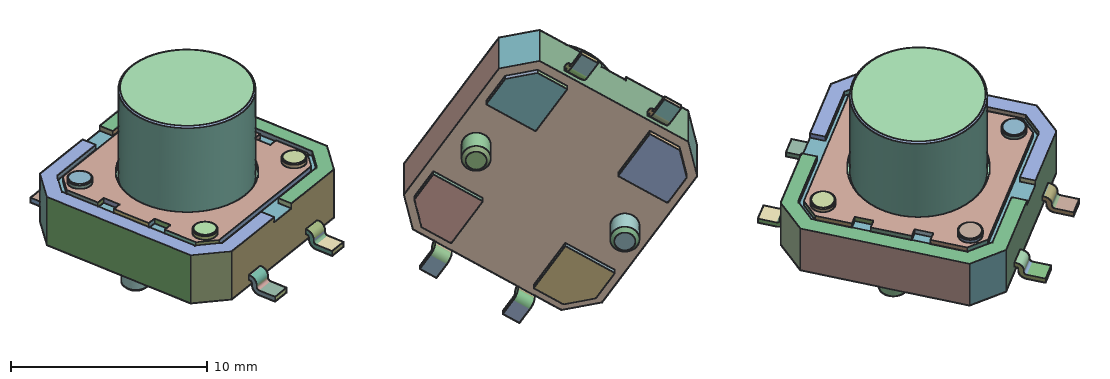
import cadquery as cq
import math

BODY_SIZE = 12.0
BODY_HEIGHT = 3.0
BODY_CORNER = 1.5

RECESS_INSET = 0.83
RECESS_DEPTH = 0.3
SIDE_NOTCH_WIDTH = 1.5

COVER_INSET = 1.1
COVER_THICKNESS = RECESS_DEPTH
COVER_HOLE_DIAMETER = 7.28
COVER_NOTCH_WIDTH = 1.0
COVER_NOTCH_DEPTH = 0.5
COVER_NOTCH_X = 1.59

BUTTON_DIAMETER = 7.0
BUTTON_RISE = 5.2
BUTTON_EDGE = 0.09

RIVET_DIAMETER = 1.3
RIVET_RISE = 0.28
RIVET_EDGE = 0.06
RIVET_OFFSET = 3.92

PEG_DIAMETER = 1.5
PEG_LENGTH = 1.5
PEG_EDGE = 0.21
PEG_Y = 4.5

FOOT_SIZE = 3.0
FOOT_HEIGHT = 0.3
FOOT_INSET = 0.5
FOOT_CORNER = 1.2

LEAD_SPAN = 15.3
LEAD_WIDTH = 1.01
LEAD_THICKNESS = 0.3
LEAD_Y = 2.51
LEAD_FLAT = 1.0
LEAD_TOP = 0.69
LEAD_LOW_BEND_RADIUS = 0.15
LEAD_HIGH_BEND_RADIUS = 0.12
LEAD_ROOT_DEPTH = 0.15

RECESS_FLOOR = BODY_HEIGHT - RECESS_DEPTH
SIGNS = (-1, 1)


def cut_corner_plate(inset, bottom, height):
    """Plate following the housing outline, set in evenly by inset on all eight sides."""
    size = BODY_SIZE - 2 * inset
    corner = BODY_CORNER - inset * (2 - math.sqrt(2))
    plate = cq.Workplane("XY", origin=(0, 0, bottom)).rect(size, size).extrude(height)
    return plate.edges("|Z").chamfer(corner)


def disc(diameter, bottom, height):
    return cq.Workplane("XY", origin=(0, 0, bottom)).circle(diameter / 2).extrude(height)


def make_housing():
    recess = cut_corner_plate(RECESS_INSET, RECESS_FLOOR, RECESS_DEPTH)
    side_notch = cq.Workplane("XY", origin=(0, 0, RECESS_FLOOR)).rect(BODY_SIZE, SIDE_NOTCH_WIDTH)
    return cut_corner_plate(0, 0, BODY_HEIGHT).cut(recess).cut(side_notch.extrude(RECESS_DEPTH))


def make_cover():
    cover = cut_corner_plate(COVER_INSET, RECESS_FLOOR, COVER_THICKNESS)
    cover = cover.cut(disc(COVER_HOLE_DIAMETER, RECESS_FLOOR, COVER_THICKNESS))
    edge_y = BODY_SIZE / 2 - COVER_INSET
    notch_points = [(x * COVER_NOTCH_X, y * edge_y) for x in SIGNS for y in SIGNS]
    notches = (
        cq.Workplane("XY", origin=(0, 0, RECESS_FLOOR))
        .pushPoints(notch_points)
        .rect(COVER_NOTCH_WIDTH, 2 * COVER_NOTCH_DEPTH)
        .extrude(COVER_THICKNESS)
    )
    return cover.cut(notches)


def make_button():
    button = disc(BUTTON_DIAMETER, RECESS_FLOOR, RECESS_DEPTH + BUTTON_RISE)
    return button.faces(">Z").edges().chamfer(BUTTON_EDGE)


def make_rivet():
    """Rivet head on the Z axis, standing on the recess floor and passing through the cover."""
    rivet = disc(RIVET_DIAMETER, RECESS_FLOOR, RECESS_DEPTH + RIVET_RISE)
    return rivet.faces(">Z").edges().chamfer(RIVET_EDGE)


def make_peg():
    """Locating peg on the Z axis."""
    return disc(PEG_DIAMETER, -PEG_LENGTH, PEG_LENGTH).faces("<Z").edges().chamfer(PEG_EDGE)


def make_foot():
    """Foot under the +X +Y corner, with its outer corner cut."""
    centre = BODY_SIZE / 2 - FOOT_INSET - FOOT_SIZE / 2
    foot = cq.Workplane("XY", origin=(centre, centre, -FOOT_HEIGHT)).rect(FOOT_SIZE, FOOT_SIZE)
    return foot.extrude(FOOT_HEIGHT).edges("|Z and >X and >Y").chamfer(FOOT_CORNER)


def make_lead():
    """Lead on the +X side, centred on Y = 0: flat tip, bend up, bend into the housing."""
    low_inner = LEAD_LOW_BEND_RADIUS
    low_outer = low_inner + LEAD_THICKNESS
    high_inner = LEAD_HIGH_BEND_RADIUS
    high_outer = high_inner + LEAD_THICKNESS
    tip_x = LEAD_SPAN / 2
    root_x = BODY_SIZE / 2 - LEAD_ROOT_DEPTH

    low_x = tip_x - LEAD_FLAT
    low_z = low_inner
    high_x = low_x - low_inner - high_outer
    high_z = LEAD_TOP - high_outer

    def low_bend_middle(radius):
        return (low_x - radius * math.sqrt(0.5), low_z - radius * math.sqrt(0.5))

    def high_bend_middle(radius):
        return (high_x + radius * math.sqrt(0.5), high_z + radius * math.sqrt(0.5))

    profile = (
        cq.Workplane("XZ", origin=(0, LEAD_WIDTH / 2, 0))
        .moveTo(tip_x, 0)
        .lineTo(low_x, 0)
        .threePointArc(low_bend_middle(low_inner), (low_x - low_inner, low_z))
        .lineTo(high_x + high_outer, high_z)
        .threePointArc(high_bend_middle(high_outer), (high_x, LEAD_TOP))
        .lineTo(root_x, LEAD_TOP)
        .lineTo(root_x, high_z + high_inner)
        .lineTo(high_x, high_z + high_inner)
        .threePointArc(high_bend_middle(high_inner), (high_x + high_inner, high_z))
        .lineTo(low_x - low_outer, low_z)
        .threePointArc(low_bend_middle(low_outer), (low_x, -LEAD_THICKNESS))
        .lineTo(tip_x, -LEAD_THICKNESS)
        .close()
    )
    return profile.extrude(LEAD_WIDTH)


result = make_housing().union(make_cover()).union(make_button())

rivet = make_rivet()
for x_sign in SIGNS:
    for y_sign in SIGNS:
        result = result.union(rivet.translate((x_sign * RIVET_OFFSET, y_sign * RIVET_OFFSET, 0)))

peg = make_peg()
for y_sign in SIGNS:
    result = result.union(peg.translate((0, y_sign * PEG_Y, 0)))

foot = make_foot()
lead = make_lead().translate((0, LEAD_Y, 0))
right_side = foot.union(foot.mirror("XZ")).union(lead).union(lead.mirror("XZ"))
result = result.union(right_side).union(right_side.mirror("YZ"))